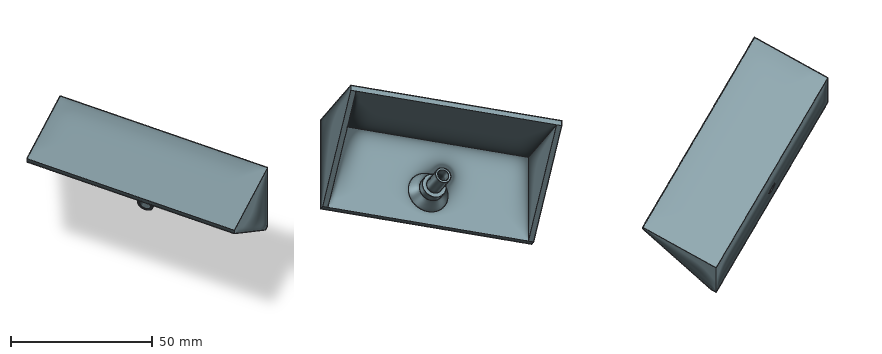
import cadquery as cq

length = 80.0
depth = 30.0
height = 35.0
wall = 2.0

spigot_height = 12.5
spigot_reach = 17.0
spigot_diameter = 5.8
bore_diameter = 4.2
cone_base_diameter = 15.0
collar_diameter = 9.0
collar_reach = 6.0

cone_length = (cone_base_diameter - collar_diameter) / 2

front_y = -depth / 2
rear_y = depth / 2
wall_front_y = rear_y - wall


def bracket_shell():
    """Top plate, back wall and two triangular end walls."""
    profile = [
        (rear_y, 0),
        (wall_front_y, 0),
        (front_y, height - wall),
        (front_y, height),
        (rear_y, height),
    ]
    body = cq.Workplane("YZ").polyline(profile).close().extrude(length / 2, both=True)
    cavity = cq.Workplane("XY").box(
        length - 2 * wall, depth - wall, height - wall, centered=(True, False, False)
    ).translate((0, front_y, 0))
    return body.cut(cavity)


def forward_plane(y):
    """Sketch plane on the spigot axis, facing -Y."""
    return cq.Workplane("XZ", origin=(0, y, spigot_height))


def spigot():
    """Tube with a collar and a conical root, rising from the back wall."""
    tube = forward_plane(rear_y).circle(spigot_diameter / 2).extrude(spigot_reach)
    collar = forward_plane(wall_front_y).circle(collar_diameter / 2).extrude(collar_reach)
    cone = (
        forward_plane(wall_front_y)
        .circle(cone_base_diameter / 2)
        .workplane(offset=cone_length)
        .circle(collar_diameter / 2)
        .loft()
    )
    return tube.union(collar).union(cone)


bore = forward_plane(rear_y).circle(bore_diameter / 2).extrude(spigot_reach)

result = bracket_shell().union(spigot()).cut(bore)